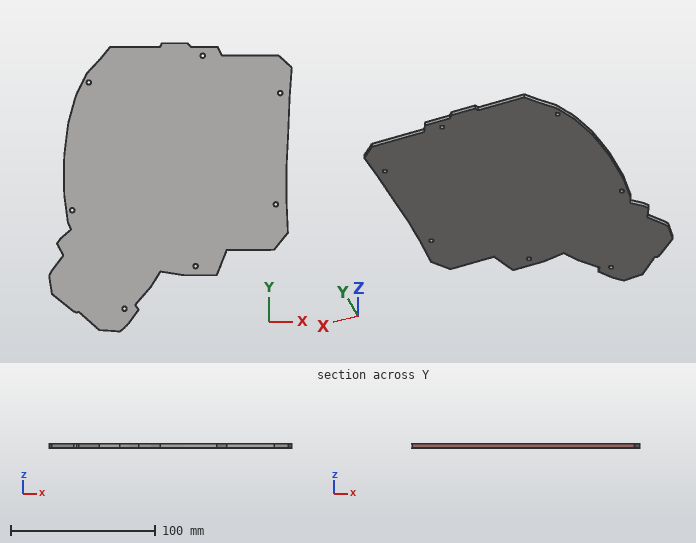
import cadquery as cq

LENGTH_X = 168.17
LENGTH_Y = 199.95
THICKNESS = 3.0
HOLE_DIAMETER = 3.0

LEFT_FLAT_X = 10.25
RIGHT_FLAT_X = 164.5
TOP_LEVEL_Y = 197.4
TOP_RIGHT_LEVEL_Y = 191.5
LOWER_RIGHT_LEVEL_Y = 56.6
LOWER_STEP_Y = 39.1

LEFT_SIDE = [
    (42.3, TOP_LEVEL_Y),
    (35.8, 189.4),
    (26.1, 179.0),
    (19.5, 165.8),
    (18.1, 162.3),
    (13.4, 145.4),
    (12.7, 141.0),
    (10.5, 122.9),
    (LEFT_FLAT_X, 118.3),
    (LEFT_FLAT_X, 98.8),
    (10.4, 94.6),
    (12.9, 75.9),
    (15.1, 70.8),
]

ARM = [
    (7.9, 64.6),
    (5.4, 61.0),
    (9.8, 52.8),
    (1.8, 42.3),
    (0.0, 39.0),
    (0.2, 36.8),
    (1.9, 26.1),
    (16.9, 14.0),
    (19.2, 13.2),
    (20.6, 13.6),
    (34.8, 1.0),
    (44.6, 0.4),
    (48.9, 0.0),
    (50.8, 1.4),
    (55.4, 6.0),
    (62.0, 15.2),
    (59.7, 18.6),
    (70.5, 31.0),
    (77.1, 41.6),
]

LOWER_RIGHT_STEPS = [
    (93.0, LOWER_STEP_Y),
    (116.1, LOWER_STEP_Y),
    (117.4, 42.1),
    (123.1, LOWER_RIGHT_LEVEL_Y),
    (153.1, LOWER_RIGHT_LEVEL_Y),
    (155.9, 56.7),
    (165.5, 68.6),
]

RIGHT_SIDE = [
    (RIGHT_FLAT_X, 91.5),
    (RIGHT_FLAT_X, 113.5),
    (165.7, 137.5),
    (166.7, 162.6),
    (LENGTH_X, 183.0),
    (158.9, TOP_RIGHT_LEVEL_Y),
]

TOP_SIDE = [
    (119.7, TOP_RIGHT_LEVEL_Y),
    (116.7, TOP_LEVEL_Y),
    (98.3, TOP_LEVEL_Y),
    (95.7, LENGTH_Y),
    (78.0, LENGTH_Y),
    (76.9, TOP_LEVEL_Y),
]

OUTLINE = LEFT_SIDE + ARM + LOWER_RIGHT_STEPS + RIGHT_SIDE + TOP_SIDE

HOLE_CENTRES = [
    (106.4, 191.2),
    (27.5, 172.7),
    (160.1, 165.3),
    (157.1, 88.2),
    (16.0, 84.1),
    (101.5, 45.4),
    (52.2, 15.9),
]


def make_plate():
    """Flat plate with the faceted outline."""
    return cq.Workplane("XY").polyline(OUTLINE).close().extrude(THICKNESS)


def drill_mounting_holes(plate):
    """Plain through holes near the edge of the plate."""
    top_face = plate.faces(">Z").workplane(origin=(0, 0, THICKNESS))
    return top_face.pushPoints(HOLE_CENTRES).hole(HOLE_DIAMETER)


result = drill_mounting_holes(make_plate())